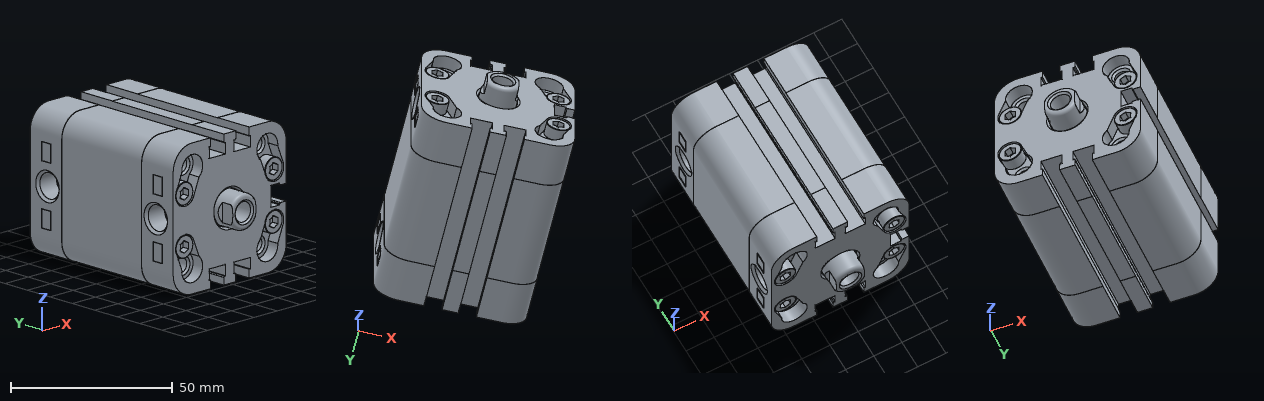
import cadquery as cq
import math


SIDE = 49.0
HALF_SIDE = SIDE / 2
CORNER_RADIUS = 8.0
OVERALL_LENGTH = 70.25
ROD_PROJECTION = 6.5
BODY_LENGTH = OVERALL_LENGTH - ROD_PROJECTION
CAP_LENGTH = 14.1
TUBE_INSET = 0.06

SLOT_DEPTH = 6.6
LIP_THICKNESS = 2.9
LIP_CHAMFER = 0.35
SLOT_WIDTH = 7.05
SINGLE_SLOT_MOUTH = 5.65
PAIR_SLOT_CENTRE = 5.35
PAIR_MOUTH_INNER = 2.6
PAIR_MOUTH_OUTER = 8.35

MOUNT_OFFSET = 16.25
MOUNT_HOLE_DIAMETER = 4.92
MOUNT_SINK_DIAMETER = 6.32
MOUNT_POCKET_DIAMETER = 9.0
SCREW_X = 19.33
SCREW_Z = 8.6
SCREW_POCKET_DIAMETER = 8.0
POCKET_DEPTH = 4.3
SCREW_HEAD_DIAMETER = 7.5
SCREW_HEAD_HEIGHT = 4.0
SCREW_HEAD_CHAMFER = 0.15
HEX_ACROSS_FLATS = 3.5
HEX_DEPTH = 2.5

PORT_DISTANCE = 7.75
PORT_DIAMETER = 8.57
PORT_MOUTH_DIAMETER = 10.4
PORT_DEPTH = 8.0
AIRWAY_DISTANCE = 9.8
AIRWAY_DIAMETER = 2.5
AIRWAY_DEPTH = 3.0

LABEL_LENGTH = 4.05
LABEL_HEIGHT = 6.2
LABEL_Z = 10.9
LABEL_DEPTH = 0.2

ROD_DIAMETER = 12.0
ROD_END_FILLET = 1.25
ROD_ACROSS_FLATS = 10.0
FLAT_LENGTH = 4.5
ROD_BORE_DIAMETER = 12.5
ROD_BORE_DEPTH = 6.0
ROD_BORE_CHAMFER = 0.7
THREAD_DIAMETER = 6.65
THREAD_MOUTH_DIAMETER = 8.0
THREAD_DEPTH = 12.0
THREAD_TIP_DIAMETER = 1.2
DRILL_POINT_ANGLE = 118.0


def front_plane(y):
    """Sketch plane at position y: local x = X, local y = Z, extrusion towards +Y."""
    return cq.Plane(origin=(0, y, 0), xDir=(1, 0, 0), normal=(0, -1, 0))


def along_y(workplane, length):
    """Extrude a sketch made on a front plane by length towards +Y."""
    return workplane.extrude(-length)


def turned_about_y(profile):
    """Solid of revolution about the Y axis from (radius, y) points."""
    return cq.Workplane("XY").polyline(profile).close().revolve(360, (0, 0, 0), (0, 1, 0))


def rounded_bar(start_y, length, inset):
    """Square bar along Y, its whole section set in by inset from the cap outline."""
    side = SIDE - 2 * inset
    bar = along_y(cq.Workplane(front_plane(start_y)).rect(side, side), length)
    return bar.edges("|Y").fillet(CORNER_RADIUS - inset)


def body_block():
    """Two end caps with a slightly smaller tube between them."""
    tube = rounded_bar(CAP_LENGTH, BODY_LENGTH - 2 * CAP_LENGTH, TUBE_INSET)
    return tube.union(both_caps(rounded_bar(0, CAP_LENGTH, 0)))


def slot_cutter(floor_left, floor_right, mouth_left, mouth_right, chamfer_right):
    """Slot open to +Z, with an undercut lip chamfered on its left and, if asked, on its right."""
    floor_z = HALF_SIDE - SLOT_DEPTH
    lip_z = HALF_SIDE - LIP_THICKNESS
    outline = [
        (floor_left, floor_z),
        (floor_left, lip_z),
        (mouth_left - LIP_CHAMFER, lip_z),
        (mouth_left, lip_z + LIP_CHAMFER),
        (mouth_left, HALF_SIDE),
        (mouth_right, HALF_SIDE),
    ]
    if chamfer_right:
        outline += [(mouth_right, lip_z + LIP_CHAMFER), (mouth_right + LIP_CHAMFER, lip_z)]
    else:
        outline += [(mouth_right, lip_z)]
    outline += [(floor_right, lip_z), (floor_right, floor_z)]
    return along_y(cq.Workplane(front_plane(0)).polyline(outline).close(), BODY_LENGTH)


def sensor_slots():
    """A mirrored pair of slots on the top and on the bottom, and a single slot on +X."""
    right_top = slot_cutter(
        PAIR_SLOT_CENTRE - SLOT_WIDTH / 2,
        PAIR_SLOT_CENTRE + SLOT_WIDTH / 2,
        PAIR_MOUTH_INNER,
        PAIR_MOUTH_OUTER,
        chamfer_right=False,
    )
    top_pair = right_top.union(right_top.mirror("YZ"))
    half_mouth = SINGLE_SLOT_MOUTH / 2
    single = slot_cutter(-SLOT_WIDTH / 2, SLOT_WIDTH / 2, -half_mouth, half_mouth, chamfer_right=True)
    side_slot = single.rotate((0, 0, 0), (0, 1, 0), 90)
    return top_pair.union(top_pair.mirror("XY")).union(side_slot)


def corner_pocket():
    """Keyhole-shaped pocket, with the countersunk mounting hole running on through the body."""
    mount = cq.Workplane(front_plane(0)).center(MOUNT_OFFSET, MOUNT_OFFSET)
    pocket = along_y(mount.circle(MOUNT_POCKET_DIAMETER / 2), POCKET_DEPTH)

    run_x = SCREW_X - MOUNT_OFFSET
    run_z = SCREW_Z - MOUNT_OFFSET
    run = math.hypot(run_x, run_z)
    channel = (
        cq.Workplane(front_plane(0))
        .center((SCREW_X + MOUNT_OFFSET) / 2, (SCREW_Z + MOUNT_OFFSET) / 2)
        .slot2D(run + SCREW_POCKET_DIAMETER, SCREW_POCKET_DIAMETER, math.degrees(math.atan2(run_z, run_x)))
    )
    pocket = pocket.union(along_y(channel, POCKET_DEPTH))

    sink_radius = MOUNT_SINK_DIAMETER / 2
    hole_radius = MOUNT_HOLE_DIAMETER / 2
    hole = turned_about_y([
        (0, POCKET_DEPTH),
        (sink_radius, POCKET_DEPTH),
        (hole_radius, POCKET_DEPTH + sink_radius - hole_radius),
        (hole_radius, BODY_LENGTH),
        (0, BODY_LENGTH),
    ])
    return pocket.union(hole.translate((MOUNT_OFFSET, 0, MOUNT_OFFSET)))


def screw_head():
    """Socket screw head standing on the pocket floor."""
    head_y = POCKET_DEPTH - SCREW_HEAD_HEIGHT
    start = cq.Workplane(front_plane(head_y)).center(SCREW_X, SCREW_Z)
    head = along_y(start.circle(SCREW_HEAD_DIAMETER / 2), SCREW_HEAD_HEIGHT)
    head = head.faces("<Y").edges().chamfer(SCREW_HEAD_CHAMFER)
    across_corners = HEX_ACROSS_FLATS / math.cos(math.pi / 6)
    socket = along_y(start.polygon(6, across_corners), HEX_DEPTH)
    socket = socket.rotate((SCREW_X, 0, SCREW_Z), (SCREW_X, 1, SCREW_Z), 90)
    return head.cut(socket)


def in_four_corners(shape):
    upper = shape.union(shape.mirror("YZ"))
    return upper.union(upper.mirror("XY"))


def cap_side_cutter():
    """Chamfered port, its airway and two label recesses on the -X side of the front cap."""
    mouth_radius = PORT_MOUTH_DIAMETER / 2
    port_radius = PORT_DIAMETER / 2
    port = turned_about_y([
        (0, 0),
        (mouth_radius, 0),
        (port_radius, mouth_radius - port_radius),
        (port_radius, PORT_DEPTH),
        (0, PORT_DEPTH),
    ])
    port = port.rotate((0, 0, 0), (0, 0, 1), -90).translate((-HALF_SIDE, PORT_DISTANCE, 0))
    airway = (
        cq.Workplane("YZ", origin=(PORT_DEPTH - HALF_SIDE, AIRWAY_DISTANCE, 0))
        .circle(AIRWAY_DIAMETER / 2)
        .extrude(AIRWAY_DEPTH)
    )
    labels = (
        cq.Workplane("YZ", origin=(-HALF_SIDE, CAP_LENGTH / 2, 0))
        .pushPoints([(0, -LABEL_Z), (0, LABEL_Z)])
        .rect(LABEL_LENGTH, LABEL_HEIGHT)
        .extrude(LABEL_DEPTH)
    )
    return port.union(airway).union(labels)


def both_caps(shape):
    """The shape and its mirror image about the middle of the body length."""
    return shape.union(shape.mirror("XZ", (0, BODY_LENGTH / 2, 0)))


def rod_bore():
    radius = ROD_BORE_DIAMETER / 2
    return turned_about_y([
        (0, 0),
        (radius + ROD_BORE_CHAMFER, 0),
        (radius, ROD_BORE_CHAMFER),
        (radius, ROD_BORE_DEPTH),
        (0, ROD_BORE_DEPTH),
    ])


def flat_cutter():
    """Cutter for the +X wrench flat, which runs out to the rod surface on a 45-degree slope."""
    end_y = -ROD_PROJECTION
    flat_x = ROD_ACROSS_FLATS / 2
    rod_radius = ROD_DIAMETER / 2
    shoulder_y = end_y + FLAT_LENGTH
    outline = [
        (flat_x, end_y),
        (flat_x, shoulder_y),
        (rod_radius, shoulder_y + rod_radius - flat_x),
        (rod_radius, end_y),
    ]
    return cq.Workplane("XY").polyline(outline).close().extrude(rod_radius, both=True)


def rod_thread_hole():
    """Chamfered blind hole in the rod end, with a cone to a small flat at the bottom."""
    end_y = -ROD_PROJECTION
    radius = THREAD_DIAMETER / 2
    mouth_radius = THREAD_MOUTH_DIAMETER / 2
    tip_radius = THREAD_TIP_DIAMETER / 2
    wall_end_y = end_y + THREAD_DEPTH
    tip_y = wall_end_y + (radius - tip_radius) / math.tan(math.radians(DRILL_POINT_ANGLE / 2))
    return turned_about_y([
        (0, end_y),
        (mouth_radius, end_y),
        (radius, end_y + mouth_radius - radius),
        (radius, wall_end_y),
        (tip_radius, tip_y),
        (0, tip_y),
    ])


def piston_rod():
    """Rod standing on the floor of its bore."""
    rod_length = ROD_PROJECTION + ROD_BORE_DEPTH
    rod = along_y(cq.Workplane(front_plane(-ROD_PROJECTION)).circle(ROD_DIAMETER / 2), rod_length)
    rod = rod.faces("<Y").edges().fillet(ROD_END_FILLET)
    flat = flat_cutter()
    return rod.cut(flat).cut(flat.mirror("YZ"))


body = body_block().cut(sensor_slots())
body = body.cut(in_four_corners(corner_pocket()))
body = body.union(in_four_corners(screw_head()))
body = body.cut(both_caps(cap_side_cutter()))
body = body.cut(rod_bore()).union(piston_rod())
result = body.cut(rod_thread_hole())